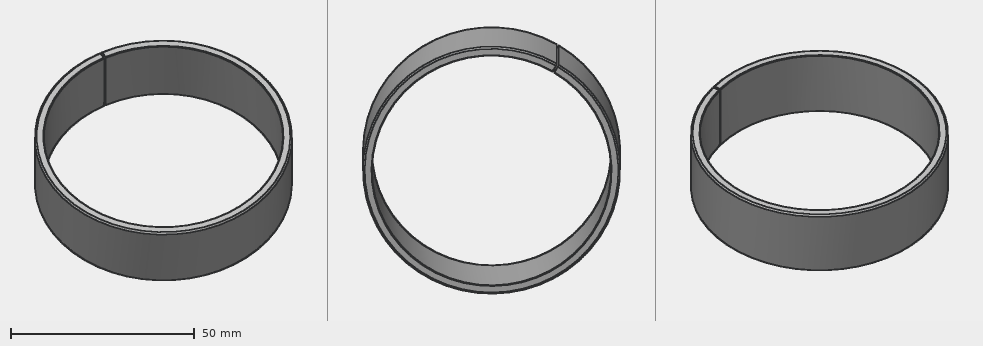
import cadquery as cq

outer_radius = 35.0
wall_thickness = 2.5
ring_height = 20.0
outer_chamfer = 0.5
inner_chamfer = 0.2
full_turn = 360.0
gap_angle = 1.0

inner_radius = outer_radius - wall_thickness


def make_section():
    """Wall cross-section on the -X side, in the XZ plane, with all four corners chamfered."""
    corners = [
        (-outer_radius, outer_chamfer),
        (-outer_radius + outer_chamfer, 0),
        (-inner_radius - inner_chamfer, 0),
        (-inner_radius, inner_chamfer),
        (-inner_radius, ring_height - inner_chamfer),
        (-inner_radius - inner_chamfer, ring_height),
        (-outer_radius + outer_chamfer, ring_height),
        (-outer_radius, ring_height - outer_chamfer),
    ]
    return cq.Workplane("XZ").polyline(corners).close()


def make_split_ring():
    """Revolve the section about Z from Y = 0 toward -Y, stopping short to leave a gap on the +Y side."""
    axis_start = (0, 0)
    axis_end = (0, 1)
    return make_section().revolve(full_turn - gap_angle, axis_start, axis_end)


result = make_split_ring()